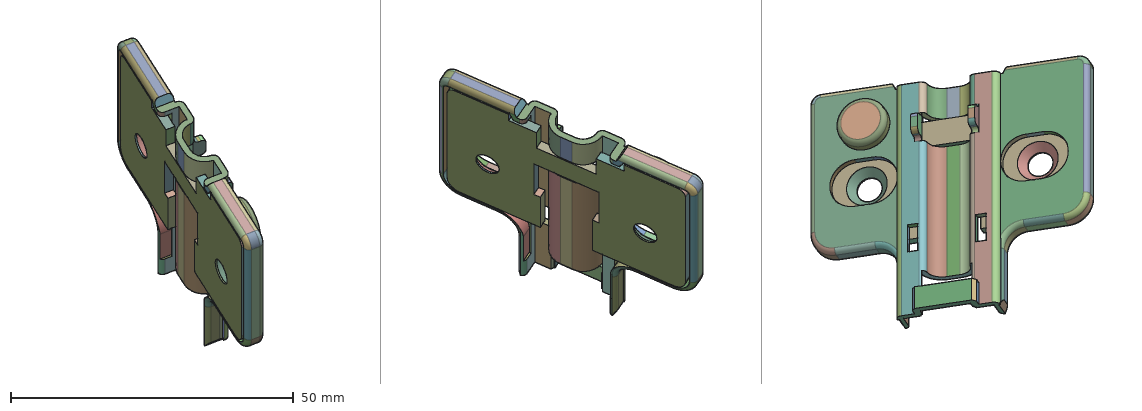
import cadquery as cq
import math


width = 52.0
height = 47.5
shell_thickness = 3.65
wall = 1.2
rim_round = 1.0
shoulder_z = 15.25
neck_half = 10.0
top_corner_radius = 2.1
bottom_corner_radius = 4.7
neck_fillet_radius = 3.85
pocket_lower_z = 4.3
floor_y = shell_thickness - wall

slope = math.tan(math.radians(28))
notch_z = 45.9
foot_bevel_height = 1.3

channel_half = 8.4
channel_y = 3.8
channel_back_y = channel_y + wall
trough_radius = 4.0
trough_flat_half = 1.2
trough_edge_x = trough_flat_half + math.sqrt(trough_radius**2 - (trough_radius - channel_y) ** 2)

window_half = 4.7
window_slant_y = 4.75
window_z = (34.3, 39.9)
foot_opening_top = 8.5
slot_x = (5.4, 7.35)
slot_z = (12.55, 17.9)

back_y = 7.3
catch_outer = 6.0
catch_z = (35.0, 39.0)
catch_round = 1.0
catch_foot_radius = 0.8
bridge_y = (5.65, 6.95)
bridge_half = 6.0
bridge_chamfer = 0.7
boss_x = 15.7
boss_z = 39.45
boss_radius = 4.7
boss_y = 6.0

hole_x = 15.9
hole_z = 28.5
hole_radius = 2.35
hole_lip = 0.3
shell_slot_radius = 4.65
shell_slot_half_travel = 1.65

plate_thickness = 1.75
plate_half = 24.0
plate_lower_z = 16.7
plate_upper_z = notch_z
plate_top_corner_radius = 1.6
plate_bottom_corner_radius = 2.6
top_recess_half = 11.65
top_recess_z = 44.1
trough_recess_half = 6.05
trough_recess_z = 39.55
slit_top_z = 34.6
slit_step_z = 25.6
slit_wide_half = 6.55
slit_narrow_half = 5.25

past = 2.6


def box(x, y, z):
    """Box spanning the given (low, high) range on each axis."""
    size = [high - low for low, high in (x, y, z)]
    return cq.Workplane("XY").box(*size, centered=False).translate((x[0], y[0], z[0]))


def block(half_width, y, z):
    """Box centred on X = 0."""
    return box((-half_width, half_width), y, z)


def front_extrude(outline, y_low, y_high):
    """Extrude an outline drawn in X and Z from y_low back to y_high."""
    return outline.extrude(y_low - y_high).translate((0, y_low, 0))


def front_polygon(points, y_low, y_high):
    return front_extrude(cq.Workplane("XZ").polyline(points).close(), y_low, y_high)


def front_cylinder(x, z, radius, y_low, y_high):
    return front_extrude(cq.Workplane("XZ").center(x, z).circle(radius), y_low, y_high)


def both_sides(right_side):
    """The right-hand shape together with its mirror image."""
    return right_side.union(right_side.mirror("YZ"))


def shell_outline(inset, lower_z, y_low, y_high):
    """Wide plate with a neck, drawn in from the outer outline by inset, with rounded corners."""
    side = width / 2 - inset
    neck = neck_half - inset
    upper = height - inset
    shoulder = shoulder_z + inset
    right = [(neck, lower_z), (neck, shoulder), (side, shoulder), (side, upper)]
    left = [(-x, z) for x, z in reversed(right)]
    body = front_polygon(right + left, y_low, y_high)
    middle = (y_low + y_high) / 2
    corners = (
        (side, upper, top_corner_radius - inset),
        (side, shoulder, bottom_corner_radius - inset),
        (neck, shoulder, neck_fillet_radius + inset),
    )
    for x, z, radius in corners:
        for sign in (-1, 1):
            near = cq.selectors.NearestToPointSelector((sign * x, middle, z))
            body = body.edges("|Y").edges(near).fillet(radius)
    return body


def notch(inset):
    """Trapezoid that cuts the top rim open over the channel, grown by inset."""
    low = notch_z - inset
    high = height + past
    low_half = neck_half + inset * math.hypot(1, slope) - inset * slope
    high_half = low_half + (high - low) * slope
    points = [(-low_half, low), (low_half, low), (high_half, high), (-high_half, high)]
    return front_polygon(points, -past, back_y)


def shell_blank():
    """Solid outline with rounded rim and top notch."""
    blank = shell_outline(0, -past, 0, shell_thickness)
    blank = blank.faces("<Y or >Y").edges().fillet(rim_round)
    blank = blank.cut(block(width, (-past, back_y), (-2 * past, 0)))
    return blank.cut(notch(0))


def foot_bevels():
    """Wedges that bevel the outer lower corners of the neck."""
    points = [
        (neck_half - foot_bevel_height * slope, 0),
        (neck_half, foot_bevel_height),
        (neck_half + past, foot_bevel_height),
        (neck_half + past, 0),
    ]
    return both_sides(front_polygon(points, 0, shell_thickness))


def shell_pocket():
    """Recess that holds the plate, one wall thickness inside the outline."""
    return shell_outline(wall, pocket_lower_z, 0, floor_y).cut(notch(wall))


def channel_space():
    """Space inside the channel, flared at the front by rounding the wall edges."""
    flare_x = channel_half + rim_round
    mid_x = flare_x - rim_round * math.sqrt(0.5)
    mid_y = rim_round * (1 - math.sqrt(0.5))
    return (
        cq.Workplane("XY")
        .moveTo(-flare_x, 0)
        .lineTo(flare_x, 0)
        .threePointArc((mid_x, mid_y), (channel_half, rim_round))
        .lineTo(channel_half, channel_back_y)
        .lineTo(-channel_half, channel_back_y)
        .lineTo(-channel_half, rim_round)
        .threePointArc((-mid_x, mid_y), (-flare_x, 0))
        .close()
        .extrude(height)
    )


def around(center, radius, direction):
    """Point at a radius from a centre, in a direction given in radians."""
    return (center[0] + radius * math.cos(direction), center[1] + radius * math.sin(direction))


def channel_sheet():
    """Bent sheet of the channel: two side walls, two flats and the round trough between them."""
    trough_center = (trough_flat_half, trough_radius)
    lip_center = (trough_edge_x, channel_y)
    corner_center = (channel_half, channel_y)
    outer_half = channel_half + wall
    thin_radius = trough_radius - wall
    edge_angle = math.atan2(channel_y - trough_radius, trough_edge_x - trough_flat_half)
    trough_mid = (edge_angle - math.pi / 2) / 2
    lip_end = edge_angle + math.pi
    lip_mid = (lip_end + math.pi / 2) / 2
    half = (
        cq.Workplane("XY")
        .moveTo(0, 0)
        .lineTo(trough_flat_half, 0)
        .threePointArc(around(trough_center, trough_radius, trough_mid), lip_center)
        .lineTo(*corner_center)
        .lineTo(channel_half, floor_y)
        .lineTo(outer_half, floor_y)
        .lineTo(outer_half, channel_y)
        .threePointArc(around(corner_center, wall, math.pi / 4), (channel_half, channel_back_y))
        .lineTo(trough_edge_x, channel_back_y)
        .threePointArc(around(lip_center, wall, lip_mid), around(lip_center, wall, lip_end))
        .threePointArc(around(trough_center, thin_radius, trough_mid), (trough_flat_half, wall))
        .lineTo(0, wall)
        .close()
        .extrude(notch_z)
    )
    return both_sides(half)


def trough_opening(z_low, z_high):
    """Cutter through the trough; its sides slant inward across the sheet thickness."""
    right = [
        (trough_edge_x, -past),
        (trough_edge_x, channel_y),
        (window_half, window_slant_y),
        (window_half, back_y),
    ]
    left = [(-x, y) for x, y in reversed(right)]
    cutter = cq.Workplane("XY").polyline(right + left).close().extrude(z_high - z_low)
    return cutter.translate((0, 0, z_low))


def catches():
    """Pair of upright tabs beside the upper window, with rounded tops and filleted feet."""
    z_low, z_high = catch_z
    radius = catch_foot_radius
    upright = block(catch_outer, (channel_y, back_y), catch_z).edges("|X and >Y").fillet(catch_round)
    tab = upright.union(
        block(catch_outer, (channel_y, channel_back_y + radius), (z_low - radius, z_high + radius))
    )
    for z in (z_low - radius, z_high + radius):
        scoop = cq.Workplane("YZ").center(channel_back_y + radius, z).circle(radius)
        tab = tab.cut(scoop.extrude(catch_outer, both=True))
    return tab.cut(block(window_half, (0, back_y), (0, height)))


def foot_bridge():
    """Strap across the lower end of the channel, on two legs."""
    z = (0, pocket_lower_z)
    outer = block(bridge_half, (channel_back_y - wall / 2, bridge_y[1]), z)
    outer = outer.edges("|Z and >Y").chamfer(bridge_chamfer)
    return outer.cut(block(window_half, (0, bridge_y[0]), z))


def boss():
    """Round boss on the back of the right wing."""
    plain = front_cylinder(boss_x, boss_z, boss_radius, floor_y, boss_y)
    return plain.faces(">Y").edges().fillet(rim_round)


def screw_slot():
    """Sideways slot with round ends through the floor of the right wing, centred on the plate hole."""
    length = 2 * (shell_slot_radius + shell_slot_half_travel)
    outline = cq.Workplane("XZ").center(hole_x, hole_z).slot2D(length, 2 * shell_slot_radius)
    return front_extrude(outline, 0, shell_thickness)


def make_shell():
    shell = shell_blank().cut(shell_pocket())
    shell = shell.cut(channel_space())
    shell = shell.union(channel_sheet()).cut(foot_bevels()).union(catches())
    shell = shell.cut(trough_opening(*window_z))
    shell = shell.cut(trough_opening(0, foot_opening_top))
    shell = shell.union(foot_bridge()).union(boss())
    shell = shell.cut(both_sides(box(slot_x, (floor_y, back_y), slot_z)))
    return shell.cut(both_sides(screw_slot()))


def plate_hole():
    """Round hole that flares at 45 degrees toward the back of the plate."""
    flare_radius = hole_radius + plate_thickness - hole_lip
    profile = [
        (0, 0),
        (hole_radius, 0),
        (hole_radius, hole_lip),
        (flare_radius, plate_thickness),
        (0, plate_thickness),
    ]
    hole = cq.Workplane("XY").polyline(profile).close().revolve(360, (0, 0, 0), (0, 1, 0))
    return hole.translate((hole_x, 0, hole_z))


def make_plate():
    y = (0, plate_thickness)
    plate = block(plate_half, y, (plate_lower_z, plate_upper_z))
    plate = plate.edges("|Y and >Z").fillet(plate_top_corner_radius)
    plate = plate.edges("|Y and <Z").fillet(plate_bottom_corner_radius)
    cutouts = (
        (top_recess_half, top_recess_z, plate_upper_z),
        (trough_recess_half, trough_recess_z, plate_upper_z),
        (slit_wide_half, slit_step_z, slit_top_z),
        (slit_narrow_half, plate_lower_z, slit_top_z),
    )
    for half_width, low, high in cutouts:
        plate = plate.cut(block(half_width, y, (low, high)))
    return plate.cut(both_sides(plate_hole()))


shell = make_shell()
plate = make_plate()

result = cq.Compound.makeCompound([shell.solids().val(), plate.solids().val()])